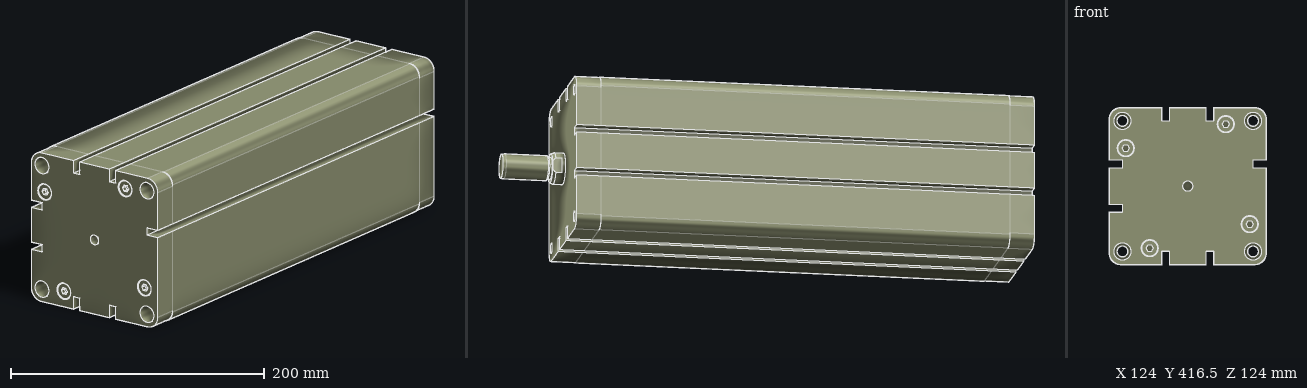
import cadquery as cq
import math

SIDE = 124.0
HALF = SIDE / 2
OVERALL_LENGTH = 416.5
ROD_EXPOSED = 49.5
HOUSING_LENGTH = OVERALL_LENGTH - ROD_EXPOSED
CAP_LENGTH = 19.7
BODY_LENGTH = HOUSING_LENGTH - 2 * CAP_LENGTH
CAP_CORNER_RADIUS = 10.0
BODY_CORNER_RADIUS = 9.0

GROOVE_OFFSET = 17.5
GROOVE_WIDTH = 6.0
GROOVE_DEPTH = 10.5

MOUNT_OFFSET = 51.5
MOUNT_DIAMETER = 8.38
MOUNT_BORE_DIAMETER = 13.5
MOUNT_BORE_DEPTH = CAP_LENGTH

SCREW_NEAR = 30.0
SCREW_FAR = 48.9
SCREW_BORE_DIAMETER = 13.5
SCREW_HEAD_DIAMETER = 12.5
SCREW_HEAD_HEIGHT = 8.0
SCREW_RECESS = 0.5
SCREW_BORE_DEPTH = SCREW_HEAD_HEIGHT + SCREW_RECESS
SCREW_COUNT = 4
SOCKET_ACROSS_FLATS = 5.0
SOCKET_DEPTH = 4.0

CENTRE_HOLE_DIAMETER = 8.0
CENTRE_HOLE_DEPTH = 10.0

ROD_DIAMETER = 25.0
COLLAR_LENGTH = 10.0
COLLAR_CHAMFER_LENGTH = 2.5
COLLAR_CHAMFER_DEPTH = 1.0
WRENCH_WIDTH = 22.0
WRENCH_LENGTH = 7.2
NECK_DIAMETER = 17.5
NECK_LENGTH = 2.0
THREAD_DIAMETER = 20.0
THREAD_RUNOUT = (THREAD_DIAMETER - NECK_DIAMETER) / 2
TIP_CHAMFER_LENGTH = 2.5
TIP_CHAMFER_DEPTH = 0.3


def xz_plane(y):
    """XZ workplane at the given y that extrudes toward +Y; its local Y is -Z."""
    return cq.Workplane("ZX", origin=(0, y, 0)).transformed(rotate=(0, 0, 90))


def square_bar(start, length, corner_radius):
    bar = xz_plane(start).rect(SIDE, SIDE).extrude(length)
    return bar.edges("|Y").fillet(corner_radius)


def cylinder(x, z, start, diameter, length):
    return cq.Workplane(cq.Solid.makeCylinder(
        diameter / 2, length, cq.Vector(x, start, z), cq.Vector(0, 1, 0)))


def housing():
    front_cap = square_bar(0, CAP_LENGTH, CAP_CORNER_RADIUS)
    body = square_bar(CAP_LENGTH, BODY_LENGTH, BODY_CORNER_RADIUS)
    rear_cap = square_bar(CAP_LENGTH + BODY_LENGTH, CAP_LENGTH, CAP_CORNER_RADIUS)
    return front_cap.union(body, clean=False).union(rear_cap, clean=False)


def groove(x, z, size_x, size_z):
    return cq.Workplane("XY").box(size_x, HOUSING_LENGTH, size_z).translate((x, HOUSING_LENGTH / 2, z))


def cut_grooves(part):
    depth_centre = HALF - GROOVE_DEPTH / 2
    for x in (-GROOVE_OFFSET, GROOVE_OFFSET):
        for z in (-depth_centre, depth_centre):
            part = part.cut(groove(x, z, GROOVE_WIDTH, GROOVE_DEPTH), clean=False)
    for side, z in ((-1, -GROOVE_OFFSET), (-1, GROOVE_OFFSET), (1, GROOVE_OFFSET)):
        part = part.cut(groove(side * depth_centre, z, GROOVE_DEPTH, GROOVE_WIDTH), clean=False)
    return part


def cut_mounting_holes(part):
    for x in (-MOUNT_OFFSET, MOUNT_OFFSET):
        for z in (-MOUNT_OFFSET, MOUNT_OFFSET):
            part = part.cut(cylinder(x, z, 0, MOUNT_DIAMETER, HOUSING_LENGTH), clean=False)
            part = part.cut(cylinder(x, z, 0, MOUNT_BORE_DIAMETER, MOUNT_BORE_DEPTH), clean=False)
    return part


def add_screws(part):
    """Recessed screws, each a quarter turn from the last about the Y axis."""
    socket_corners = SOCKET_ACROSS_FLATS / math.cos(math.pi / 6)
    x, z = SCREW_NEAR, SCREW_FAR
    for _ in range(SCREW_COUNT):
        gap = cylinder(x, z, 0, SCREW_BORE_DIAMETER, SCREW_BORE_DEPTH)
        gap = gap.cut(cylinder(x, z, SCREW_RECESS, SCREW_HEAD_DIAMETER, SCREW_HEAD_HEIGHT))
        socket = xz_plane(SCREW_RECESS).polygon(6, socket_corners).extrude(SOCKET_DEPTH).translate((x, 0, z))
        part = part.cut(gap, clean=False).cut(socket, clean=False)
        x, z = z, -x
    return part


def piston_rod():
    """Rod end revolved about Y, from the rod-side cap face to the tip."""
    rod_radius = ROD_DIAMETER / 2
    neck_radius = NECK_DIAMETER / 2
    thread_radius = THREAD_DIAMETER / 2
    collar_end = HOUSING_LENGTH + COLLAR_LENGTH
    neck_end = collar_end + NECK_LENGTH
    rod = (
        cq.Workplane("XY")
        .moveTo(0, HOUSING_LENGTH)
        .lineTo(rod_radius, HOUSING_LENGTH)
        .lineTo(rod_radius, collar_end - COLLAR_CHAMFER_LENGTH)
        .lineTo(rod_radius - COLLAR_CHAMFER_DEPTH, collar_end)
        .lineTo(neck_radius, collar_end)
        .lineTo(neck_radius, neck_end)
        .lineTo(thread_radius, neck_end + THREAD_RUNOUT)
        .lineTo(thread_radius, OVERALL_LENGTH - TIP_CHAMFER_LENGTH)
        .lineTo(thread_radius - TIP_CHAMFER_DEPTH, OVERALL_LENGTH)
        .lineTo(0, OVERALL_LENGTH)
        .close()
        .revolve(360, (0, 0, 0), (0, 1, 0))
    )
    for side in (-1, 1):
        flat = cq.Workplane("XY").box(ROD_DIAMETER, WRENCH_LENGTH, ROD_DIAMETER)
        flat_x = side * (WRENCH_WIDTH + ROD_DIAMETER) / 2
        rod = rod.cut(flat.translate((flat_x, collar_end - WRENCH_LENGTH / 2, 0)))
    return rod


part = cut_grooves(housing())
part = cut_mounting_holes(part)
part = add_screws(part)
part = part.cut(cylinder(0, 0, 0, CENTRE_HOLE_DIAMETER, CENTRE_HOLE_DEPTH), clean=False)
result = part.union(piston_rod(), clean=False)